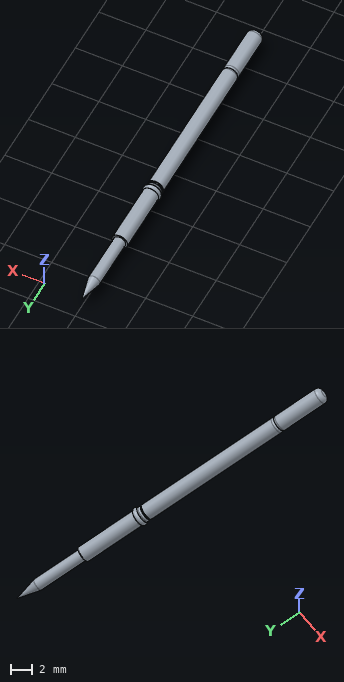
import cadquery as cq
import math

length = 37.0

plunger_diameter = 1.3
plunger_radius = plunger_diameter / 2
cone_length = 2.48
tip_radius = 0.05

barrel_radius = 0.85
barrel_length = 29.05
tail_fillet = 0.48

collar_radius = 1.0
collar_centre = 22.2
collar_width = 0.5

neck_depth = 0.1
neck_rear = 21.42
neck_flat = 0.15
neck_shoulder = 0.22

crimp_centre = 5.5
crimp_width = 0.45
crimp_depth = 0.1


def roll_radius(run, drop):
    """Radius of a roll that leaves the barrel tangentially and sinks by drop over run."""
    return (run**2 + drop**2) / (2 * drop)


def roll_midpoint(rim, direction, run, drop):
    """Point halfway down a roll, as (Y, radius); direction is +1 or -1 along Y from the rim."""
    radius = roll_radius(run, drop)
    half_angle = math.asin(run / radius) / 2
    along = radius * math.sin(half_angle)
    sunk = radius * (1 - math.cos(half_angle))
    return (rim + direction * along, barrel_radius - sunk)


def revolve_about_axis(outline):
    """Turn a closed half outline, drawn as (Y, radius), about the Y axis."""
    return outline.revolve(360, (0, 0, 0), (1, 0, 0))


def make_plunger():
    outline = (
        cq.Workplane("YZ")
        .moveTo(barrel_length, 0)
        .lineTo(barrel_length, plunger_radius)
        .lineTo(length - cone_length, plunger_radius)
        .lineTo(length, tip_radius)
        .lineTo(length, 0)
        .close()
    )
    return revolve_about_axis(outline)


def make_barrel():
    tube = revolve_about_axis(
        cq.Workplane("YZ")
        .moveTo(0, 0)
        .lineTo(0, barrel_radius)
        .lineTo(barrel_length, barrel_radius)
        .lineTo(barrel_length, 0)
        .close()
    )
    return tube.faces("<Y").edges().fillet(tail_fillet)


def make_collar():
    """Bead whose arc rises from the barrel surface to the collar radius."""
    rear = collar_centre - collar_width / 2
    front = collar_centre + collar_width / 2
    outline = (
        cq.Workplane("YZ")
        .moveTo(rear, 0)
        .lineTo(rear, barrel_radius)
        .threePointArc((collar_centre, collar_radius), (front, barrel_radius))
        .lineTo(front, 0)
        .close()
    )
    return revolve_about_axis(outline)


def make_neck_groove():
    floor_radius = barrel_radius - neck_depth
    floor_front = neck_rear + neck_flat
    rim = floor_front + neck_shoulder
    outline = (
        cq.Workplane("YZ")
        .moveTo(neck_rear, barrel_radius)
        .lineTo(neck_rear, floor_radius)
        .lineTo(floor_front, floor_radius)
        .threePointArc(roll_midpoint(rim, -1, neck_shoulder, neck_depth), (rim, barrel_radius))
        .close()
    )
    return revolve_about_axis(outline)


def make_crimp_groove():
    shoulder = crimp_width / 2
    rear = crimp_centre - shoulder
    front = crimp_centre + shoulder
    bottom = (crimp_centre, barrel_radius - crimp_depth)
    outline = (
        cq.Workplane("YZ")
        .moveTo(rear, barrel_radius)
        .threePointArc(roll_midpoint(rear, 1, shoulder, crimp_depth), bottom)
        .threePointArc(roll_midpoint(front, -1, shoulder, crimp_depth), (front, barrel_radius))
        .close()
    )
    return revolve_about_axis(outline)


barrel = make_barrel().cut(make_neck_groove()).cut(make_crimp_groove())
result = barrel.union(make_collar()).union(make_plunger())